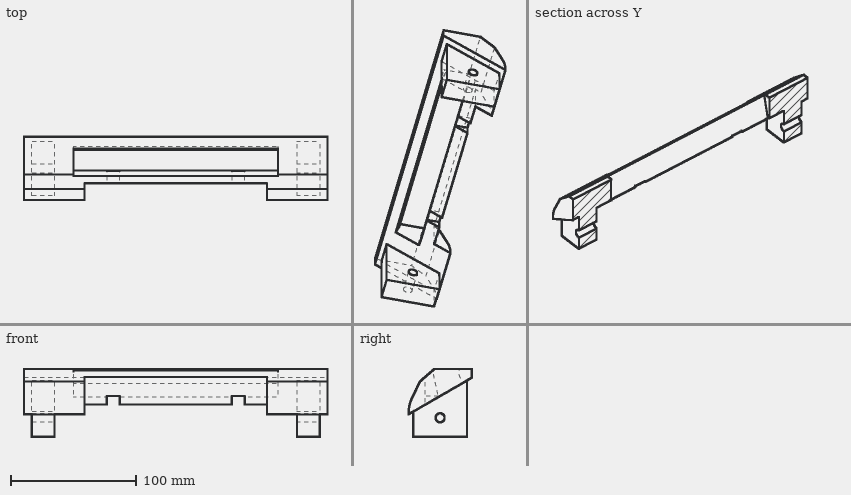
import cadquery as cq
import math

length = 242.5
depth = 50.7
height = 54.3
mid_x = length / 2

back_height = 7.0
underside_angle = 30.0
top_depth = 30.0
upper_bend = (-41.7, -10.2)
lower_bend = (-49.0, -25.5)
nose_top = -34.2
nose_bulge = (-50.2, -29.8)

leg_inset = 6.0
leg_width = 18.5
leg_back = 4.0
leg_depth = 43.2
hole_diameter = 7.0
hole_y = -25.5
hole_z = -39.0

recess_length = 145.5
recess_y = -37.4
window_length = 163.0
window_back = 9.5
window_back_low = 7.8
lip_middle = (-10.7, -2.05)
lip_end = (-10.5, -4.4)
window_front = 31.8
window_front_low = 27.0
notch_width = 10.2
notch_spacing = 100.0
notch_top = -21.8


def underside_z(y):
    """Height of the sloping underside at a given Y."""
    return -back_height + y * math.tan(math.radians(underside_angle))


def make_hood():
    return (
        cq.Workplane("YZ")
        .moveTo(0, 0)
        .lineTo(-top_depth, 0)
        .lineTo(*upper_bend)
        .lineTo(*lower_bend)
        .threePointArc(nose_bulge, (-depth, nose_top))
        .lineTo(-depth, underside_z(-depth))
        .lineTo(0, -back_height)
        .close()
        .extrude(length)
    )


def make_leg(start_x):
    leg_front = leg_back + leg_depth
    outline = [
        (-leg_back, underside_z(-leg_back)),
        (-leg_front, underside_z(-leg_front)),
        (-leg_front, -height),
        (-leg_back, -height),
    ]
    leg = cq.Workplane("YZ", origin=(start_x, 0, 0)).polyline(outline).close().extrude(leg_width)
    hole = (
        cq.Workplane("YZ", origin=(start_x, hole_y, hole_z))
        .circle(hole_diameter / 2)
        .extrude(leg_width)
    )
    return leg.cut(hole)


def make_recess():
    """Block that sets the front face back between the two ends."""
    return cq.Workplane("XY").box(
        recess_length, depth + recess_y, height, centered=(True, False, False)
    ).translate((mid_x, -depth, -height))


def make_window():
    """Opening with a rounded back lip, an undercut back wall and a leaning front wall."""
    return (
        cq.Workplane("YZ", origin=(mid_x - window_length / 2, 0, 0))
        .moveTo(-window_back, 0)
        .threePointArc(lip_middle, lip_end)
        .lineTo(-window_back_low, underside_z(-window_back_low))
        .lineTo(-window_front_low, underside_z(-window_front_low))
        .lineTo(-window_front, 0)
        .close()
        .extrude(window_length)
    )


def make_notch(center_x):
    return cq.Workplane("XY").box(
        notch_width, depth, height, centered=(True, False, False)
    ).translate((center_x, -depth, notch_top - height))


result = make_hood()
for leg_x in (leg_inset, length - leg_inset - leg_width):
    result = result.union(make_leg(leg_x))
result = result.cut(make_recess()).cut(make_window())
for side in (-1, 1):
    result = result.cut(make_notch(mid_x + side * notch_spacing / 2))